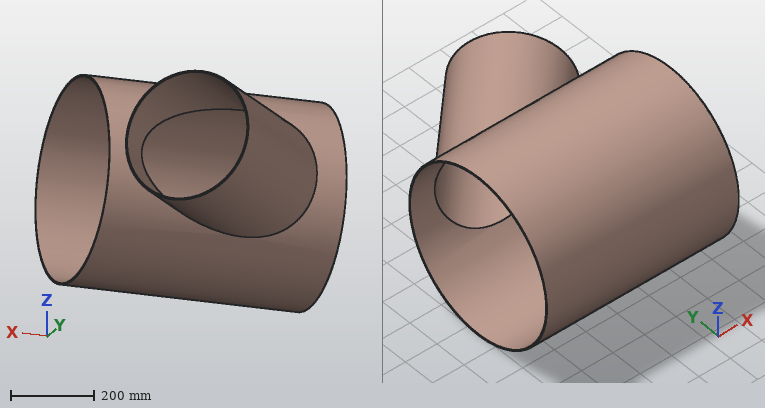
import cadquery as cq
import math

main_length = 608.0
main_outer_diameter = 508.0
main_inner_diameter = 500.0

branch_outer_diameter = 324.0
branch_inner_diameter = 316.0
branch_angle = 45.0
total_width = 790.0
axis_crossing_x = -253.0
branch_start = 111.0

angle = math.radians(branch_angle)
branch_tip_y = total_width - main_outer_diameter / 2
branch_end_y = branch_tip_y - branch_outer_diameter / 2 * math.cos(angle)
branch_length = branch_end_y / math.sin(angle)


def main_cylinder(diameter):
    """Solid cylinder on the X axis, centred on the origin."""
    return cq.Workplane("YZ").circle(diameter / 2).extrude(main_length / 2, both=True)


def branch_cylinder(diameter):
    """Solid cylinder from inside the main bore out to the square-cut branch end."""
    base = cq.Plane(
        origin=(axis_crossing_x, 0, 0),
        xDir=(0, 0, 1),
        normal=(math.cos(angle), math.sin(angle), 0),
    )
    start_plane = cq.Workplane(base).workplane(offset=branch_start)
    return start_plane.circle(diameter / 2).extrude(branch_length - branch_start)


outer_body = main_cylinder(main_outer_diameter).union(branch_cylinder(branch_outer_diameter))
result = outer_body.cut(main_cylinder(main_inner_diameter)).cut(branch_cylinder(branch_inner_diameter))